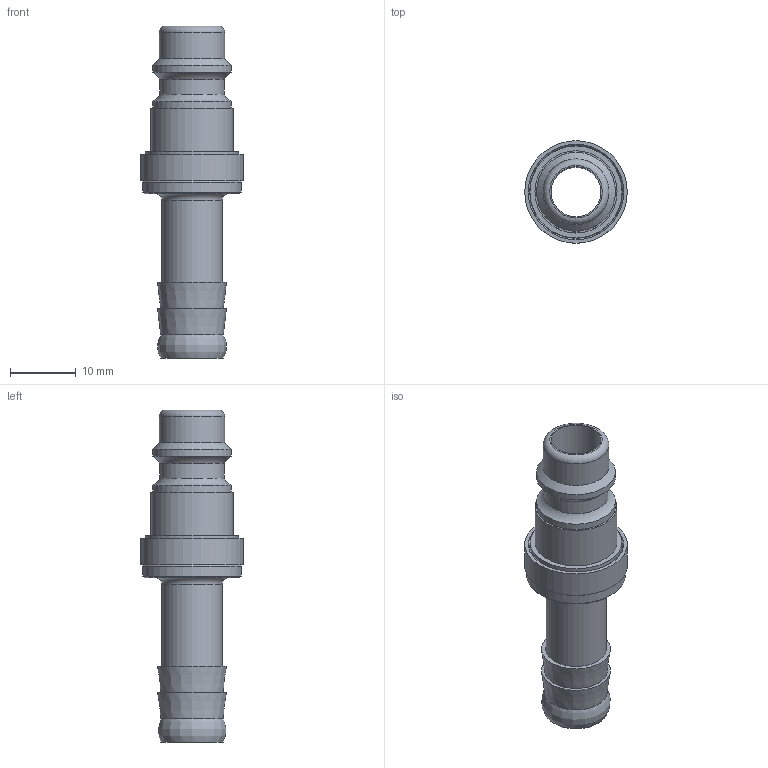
import cadquery as cq

TOTAL_LENGTH = 50.5

BORE_DIAMETER = 7.6

PLUG_DIAMETER = 10.0
PLUG_TIP_RADIUS = 1.0
COLLAR_DIAMETER = 12.0
COLLAR_HEIGHT = 1.0
COLLAR_TOP = TOTAL_LENGTH - 6.0
COLLAR_SLOPE_HEIGHT = (COLLAR_DIAMETER - PLUG_DIAMETER) / 2

GROOVE_WIDTH = 4.5
NECK_DIAMETER = 9.75
FLARE_HEIGHT = (COLLAR_DIAMETER - NECK_DIAMETER) / 2
FLARE_RADIUS = 2.5

BODY_DIAMETER = 12.5
BODY_TOP = TOTAL_LENGTH - 12.5
SEAT_DIAMETER = 14.0
SEAT_TOP = TOTAL_LENGTH - 19.1
FLANGE_DIAMETER = 15.0
FLANGE_BOTTOM = TOTAL_LENGTH - 25.5
FLANGE_HEIGHT = 2.0
FLANGE_CHAMFER = 0.25

TAIL_DIAMETER = 9.2
TAIL_FILLET_RADIUS = 1.0
BARB_DIAMETER = 10.5
BARB_ROOT_DIAMETER = 9.5
BARB_COUNT = 2
BARB_PITCH = 4.0
END_BEAD_HEIGHT = 3.5

RING_OUTER_DIAMETER = 15.6
RING_INNER_DIAMETER = 14.1
RING_HEIGHT = 4.0
RING_CHAMFER = 0.2


def make_nipple():
    bore_r = BORE_DIAMETER / 2
    plug_r = PLUG_DIAMETER / 2
    neck_r = NECK_DIAMETER / 2
    collar_r = COLLAR_DIAMETER / 2
    body_r = BODY_DIAMETER / 2
    seat_r = SEAT_DIAMETER / 2
    flange_r = FLANGE_DIAMETER / 2
    tail_r = TAIL_DIAMETER / 2
    barb_r = BARB_DIAMETER / 2
    root_r = BARB_ROOT_DIAMETER / 2
    flange_top = FLANGE_BOTTOM + FLANGE_HEIGHT

    profile = (
        cq.Workplane("XZ")
        .moveTo(bore_r, 0)
        .lineTo(root_r, 0)
        .threePointArc((barb_r, END_BEAD_HEIGHT / 2), (root_r, END_BEAD_HEIGHT))
    )
    for index in range(BARB_COUNT):
        barb_bottom = END_BEAD_HEIGHT + index * BARB_PITCH
        if index > 0:
            profile = profile.lineTo(root_r, barb_bottom)
        profile = profile.lineTo(barb_r, barb_bottom + BARB_PITCH)
    profile = (
        profile.lineTo(tail_r, END_BEAD_HEIGHT + BARB_COUNT * BARB_PITCH)
        .lineTo(tail_r, FLANGE_BOTTOM - TAIL_FILLET_RADIUS)
        .radiusArc((tail_r + TAIL_FILLET_RADIUS, FLANGE_BOTTOM), TAIL_FILLET_RADIUS)
        .lineTo(flange_r - FLANGE_CHAMFER, FLANGE_BOTTOM)
        .lineTo(flange_r, FLANGE_BOTTOM + FLANGE_CHAMFER)
        .lineTo(flange_r, flange_top - FLANGE_CHAMFER)
        .lineTo(flange_r - FLANGE_CHAMFER, flange_top)
        .lineTo(seat_r, flange_top)
        .lineTo(seat_r, SEAT_TOP)
        .lineTo(body_r, SEAT_TOP)
        .lineTo(body_r, BODY_TOP)
        .lineTo(collar_r, BODY_TOP)
    )
    groove_top = COLLAR_TOP - COLLAR_HEIGHT
    groove_bottom = groove_top - GROOVE_WIDTH
    profile = (
        profile.lineTo(collar_r, groove_bottom)
        .radiusArc((neck_r, groove_bottom + FLARE_HEIGHT), FLARE_RADIUS)
        .lineTo(neck_r, groove_top - FLARE_HEIGHT)
        .radiusArc((collar_r, groove_top), FLARE_RADIUS)
    )
    profile = (
        profile.lineTo(collar_r, COLLAR_TOP)
        .lineTo(plug_r, COLLAR_TOP + COLLAR_SLOPE_HEIGHT)
        .lineTo(plug_r, TOTAL_LENGTH - PLUG_TIP_RADIUS)
        .radiusArc((plug_r - PLUG_TIP_RADIUS, TOTAL_LENGTH), -PLUG_TIP_RADIUS)
        .lineTo(bore_r, TOTAL_LENGTH)
        .close()
    )
    return profile.revolve(360, (0, 0, 0), (0, 1, 0))


def make_ring():
    ring = (
        cq.Workplane("XY", origin=(0, 0, FLANGE_BOTTOM + FLANGE_HEIGHT))
        .circle(RING_OUTER_DIAMETER / 2)
        .circle(RING_INNER_DIAMETER / 2)
        .extrude(RING_HEIGHT)
    )
    return ring.faces(">Z").edges(cq.selectors.RadiusNthSelector(0)).chamfer(RING_CHAMFER)


nipple = make_nipple()
ring = make_ring()

result = cq.Compound.makeCompound([nipple.val(), ring.val()])